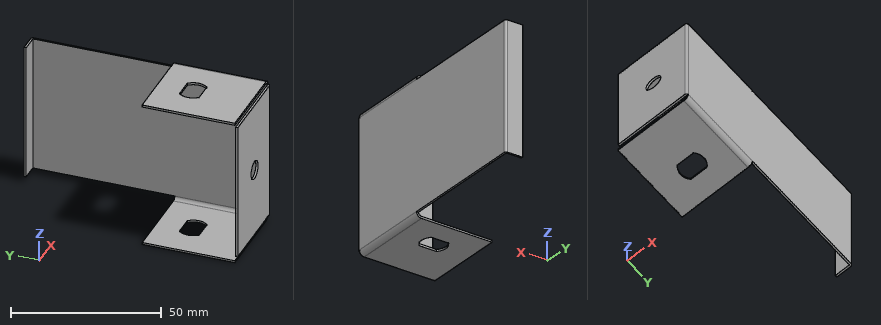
import cadquery as cq

width = 30.8
length = 85.0
height = 54.0
thickness = 0.8

flange_inner_radius = 1.2
flange_bend_radius = flange_inner_radius + thickness
end_bend_radius = thickness

web_height = height - 2 * flange_bend_radius
flange_length = 33.0
lip_width = 7.0
end_plate_width = width - thickness

hole_diameter = 6.5
hole_x = 16.2
slot_diameter = 9.95
slot_width = 7.0
slot_x = 15.0
slot_y = 21.3


def make_web_with_ends():
    """Tall wall at +X with an end plate at -Y and a short lip at +Y."""
    inner_x = width - thickness
    return (
        cq.Workplane("XY", origin=(0, 0, -web_height / 2))
        .moveTo(width - end_plate_width, 0)
        .lineTo(width - end_bend_radius, 0)
        .radiusArc((width, end_bend_radius), -end_bend_radius)
        .lineTo(width, length - end_bend_radius)
        .radiusArc((width - end_bend_radius, length), -end_bend_radius)
        .lineTo(width - lip_width, length)
        .lineTo(width - lip_width, length - thickness)
        .lineTo(inner_x, length - thickness)
        .lineTo(inner_x, thickness)
        .lineTo(width - end_plate_width, thickness)
        .close()
        .extrude(web_height)
    )


def make_top_flange():
    """Horizontal flange joined to the web by a rounded bend."""
    top_z = height / 2
    bend_x = width - flange_bend_radius
    bend_z = top_z - flange_bend_radius
    return (
        cq.Workplane("XZ", origin=(0, thickness, 0))
        .moveTo(0, top_z)
        .lineTo(bend_x, top_z)
        .radiusArc((width, bend_z), flange_bend_radius)
        .lineTo(width - thickness, bend_z)
        .radiusArc((bend_x, bend_z + flange_inner_radius), -flange_inner_radius)
        .lineTo(0, top_z - thickness)
        .close()
        .extrude(-flange_length)
    )


def make_slot_cutter():
    """Circle with two flats, passing through both flanges."""
    round_ends = cq.Workplane("XY").circle(slot_diameter / 2).extrude(height / 2, both=True)
    flats = cq.Workplane("XY").box(slot_diameter, slot_width, height)
    return round_ends.intersect(flats).translate((slot_x, slot_y, 0))


def make_hole_cutter():
    """Round hole through the middle of the end plate."""
    return cq.Workplane("XZ").center(hole_x, 0).circle(hole_diameter / 2).extrude(-2 * thickness)


top_flange = make_top_flange()
bottom_flange = top_flange.mirror("XY")

bracket = make_web_with_ends().union(top_flange).union(bottom_flange)
result = bracket.cut(make_slot_cutter()).cut(make_hole_cutter())